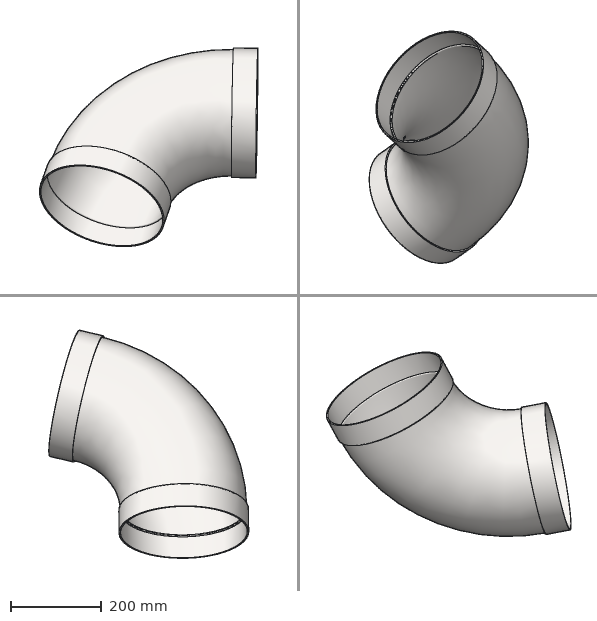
import cadquery as cq
import math

bend_angle = 75.0
bend_radius = 279.5
tube_diameter = 280.0
socket_diameter = 287.0
socket_length = 54.0

wall = (socket_diameter - tube_diameter) / 2
tube_bore = tube_diameter - 2 * wall


def ring(outer_diameter, inner_diameter, plane):
    """Annular sketch centred on the tube axis."""
    return cq.Workplane(plane).circle(outer_diameter / 2).circle(inner_diameter / 2)


def socket(plane):
    """Straight socket extruded along the normal of its seating plane."""
    return ring(socket_diameter, tube_diameter, plane).extrude(socket_length)


def socket_seat(plane):
    """Shoulder joining tube and socket, rounding from the tube bore out to the socket bore."""
    bore_radius = tube_bore / 2
    outer_radius = socket_diameter / 2
    round_offset = wall * math.sqrt(0.5)
    half_section = (
        cq.Workplane(cq.Plane(origin=plane.origin, xDir=plane.xDir, normal=-plane.yDir))
        .moveTo(bore_radius, 0)
        .threePointArc(
            (bore_radius + wall - round_offset, round_offset),
            (bore_radius + wall, wall),
        )
        .lineTo(outer_radius, wall)
        .lineTo(outer_radius, 0)
        .close()
    )
    return half_section.revolve(360, (0, 0, 0), (0, 1, 0))


start_plane = cq.Plane(origin=(0, 0, 0), xDir=(1, 0, 0), normal=(0, -1, 0))
bend = ring(tube_diameter, tube_bore, start_plane).revolve(
    bend_angle, (bend_radius, 0, 0), (bend_radius, -1, 0)
)

turn = math.radians(bend_angle)
end_plane = cq.Plane(
    origin=(bend_radius * (1 - math.cos(turn)), bend_radius * math.sin(turn), 0),
    xDir=(0, 0, 1),
    normal=(math.sin(turn), math.cos(turn), 0),
)

result = bend
for plane in (start_plane, end_plane):
    result = result.union(socket_seat(plane)).union(socket(plane))